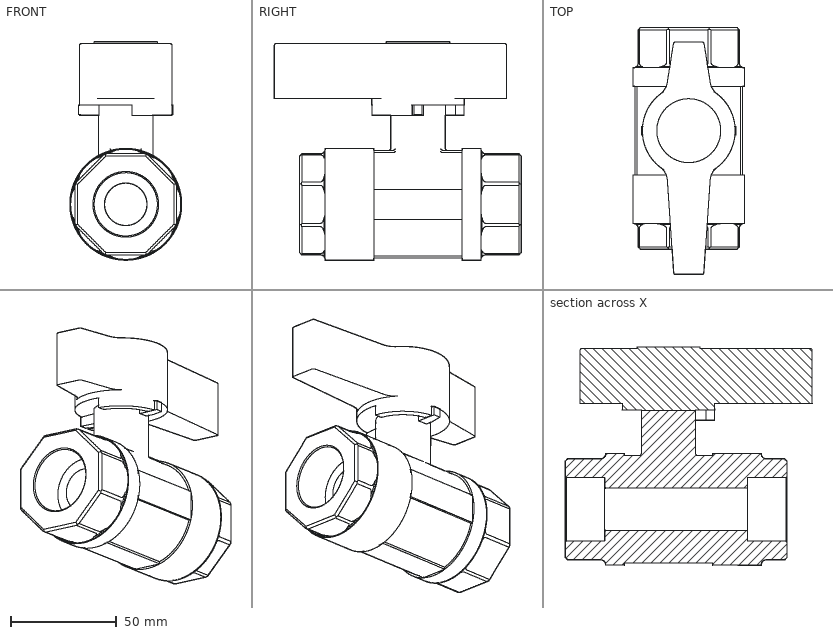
import cadquery as cq
import math


shell_half_length = 21.0
back_band_end = 29.8
back_end = 48.9
front_band_end = 44.0
front_end = 56.2

band_diameter = 53.0
shell_diameter = 50.9
octagon_corner_diameter = 51.2
octagon_corner_flare = 0.5
octagon_flat_distance = 24.0
octagon_end_chamfer = 1.2
octagon_base_fillet = 2.2
flat_count = 8
pad_width = 14.2
pad_distance = 25.5
pad_count = 4

bore_diameter = 20.0
socket_diameter = 30.0
socket_depth = 18.7
socket_chamfer = 0.6

stem_diameter = 26.0
stem_fillet = 0.9
stem_top = 46.9
ear_bend = 16.6
ear_tip = 22.5
ear_root_width = 5.1
ear_tip_width = 3.9
ear_tip_rise = 0.4

hub_diameter = 44.0
skirt_inner_diameter = 36.0
skirt_bottom = 42.1
skirt_gap = 2.9
arm_bottom = 50.1
handle_top = 76.2
handle_end_half_width = 7.1
back_arm_length = 42.0
back_arm_root_half_width = 13.8
front_arm_length = 68.1
front_arm_root_half_width = 11.7
hub_blend_radius = 8.0
handle_edge_fillet = 1.0
cap_diameter = 30.3
cap_height = 0.88
cap_fillet = 0.6


def cylinder_y(diameter, y_start, y_end):
    """Cylinder around the bore axis from y_start to y_end."""
    return cq.Workplane("XZ", origin=(0, y_start, 0)).circle(diameter / 2).extrude(y_start - y_end)


def octagon_end(band_end, end):
    """Octagonal wrench end pointing along +Y, standing on a band that ends at band_end."""
    corner_radius = octagon_corner_diameter / 2
    band_radius = band_diameter / 2
    blank = (
        cq.Workplane("XY")
        .moveTo(0, shell_half_length)
        .lineTo(band_radius, shell_half_length)
        .lineTo(band_radius, band_end)
        .lineTo(corner_radius + octagon_corner_flare, band_end)
        .lineTo(corner_radius, band_end + octagon_corner_flare)
        .lineTo(corner_radius, end)
        .lineTo(0, end)
        .close()
        .revolve(360, (0, 0, 0), (0, 1, 0))
    )

    flat = octagon_flat_distance
    fillet = octagon_base_fillet
    chamfer = octagon_end_chamfer
    fillet_middle = fillet * (1 - math.sqrt(0.5))
    cutter = (
        cq.Workplane("XY")
        .moveTo(band_diameter, band_end)
        .lineTo(flat + fillet, band_end)
        .threePointArc((flat + fillet_middle, band_end + fillet_middle), (flat, band_end + fillet))
        .lineTo(flat, end - chamfer)
        .lineTo(flat - chamfer, end)
        .lineTo(band_diameter, end)
        .close()
        .extrude(band_diameter / 2, both=True)
    )
    for index in range(flat_count):
        blank = blank.cut(cutter.rotate((0, 0, 0), (0, 1, 0), index * 360 / flat_count))
    return blank


def make_shell():
    """Round middle part with raised flat pads and the stem, blended at the stem foot."""
    shell = cylinder_y(shell_diameter, -shell_half_length, shell_half_length)
    pad = cq.Workplane("XY").box(pad_width, 2 * shell_half_length, pad_distance, centered=(True, True, False))
    for index in range(pad_count):
        shell = shell.union(pad.rotate((0, 0, 0), (0, 1, 0), index * 360 / pad_count))

    stem = cq.Workplane("XY").circle(stem_diameter / 2).extrude(stem_top)
    foot_size = stem_diameter + 2 * stem_fillet
    foot_zone = cq.selectors.BoxSelector(
        (-foot_size / 2, -foot_size / 2, shell_diameter / 4),
        (foot_size / 2, foot_size / 2, pad_distance + stem_fillet),
        boundingbox=True,
    )
    return shell.union(stem).edges(foot_zone).fillet(stem_fillet)


def stop_ear():
    """Stop ear on the +X side of the stem, tapered towards its tip."""
    height = stem_top - skirt_bottom
    root = cq.Workplane("XY", origin=(0, 0, skirt_bottom)).box(
        ear_bend, ear_root_width, height, centered=(False, True, False)
    )
    tip_height = height - ear_tip_rise
    tip = (
        cq.Workplane("YZ", origin=(ear_bend, 0, stem_top - height / 2))
        .rect(ear_root_width, height)
        .workplane(offset=ear_tip - ear_bend)
        .center(0, ear_tip_rise / 2)
        .rect(ear_tip_width, tip_height)
        .loft(ruled=True)
    )
    return root.union(tip)


def socket(end):
    """Pipe socket to remove from the end face at +Y, with a chamfered mouth."""
    radius = socket_diameter / 2
    return (
        cq.Workplane("XY")
        .moveTo(0, end - socket_depth)
        .lineTo(radius, end - socket_depth)
        .lineTo(radius, end - socket_chamfer)
        .lineTo(radius + socket_chamfer, end)
        .lineTo(0, end)
        .close()
        .revolve(360, (0, 0, 0), (0, 1, 0))
    )


def turned_about_z(shape):
    """The shape turned half a turn about the stem axis."""
    return shape.rotate((0, 0, 0), (0, 0, 1), 180)


def make_valve_body():
    ear = stop_ear()
    body = (
        make_shell()
        .union(octagon_end(back_band_end, back_end))
        .union(turned_about_z(octagon_end(front_band_end, front_end)))
        .union(ear)
        .union(turned_about_z(ear))
    )
    return (
        body.cut(cylinder_y(bore_diameter, -front_end, back_end))
        .cut(socket(back_end))
        .cut(turned_about_z(socket(front_end)))
    )


def arm(root_half_width, length):
    """Tapered handle arm from the stem axis to y = length, which may be negative."""
    return (
        cq.Workplane("XY", origin=(0, 0, arm_bottom))
        .polyline([
            (-root_half_width, 0),
            (-handle_end_half_width, length),
            (handle_end_half_width, length),
            (root_half_width, 0),
        ])
        .close()
        .extrude(handle_top - arm_bottom)
    )


def make_grip():
    """Upper hub with both arms, blended together and rounded on the outside edges."""
    hub = cq.Workplane("XY", origin=(0, 0, arm_bottom)).circle(hub_diameter / 2).extrude(handle_top - arm_bottom)
    grip = (
        hub.union(arm(back_arm_root_half_width, back_arm_length))
        .union(arm(front_arm_root_half_width, -front_arm_length))
    )
    near_hub = cq.selectors.BoxSelector(
        (-hub_diameter / 2, -hub_diameter / 2, arm_bottom),
        (hub_diameter / 2, hub_diameter / 2, handle_top),
    )
    grip = grip.edges("|Z").edges(near_hub).fillet(hub_blend_radius)
    grip = grip.edges("|Z and (>Y or <Y)").fillet(handle_edge_fillet)
    return grip.faces(">Z").edges().fillet(handle_edge_fillet)


def make_skirt():
    """Lower hub, with two opposite quarters of its skirt removed for the stop ears."""
    lower_hub = (
        cq.Workplane("XY", origin=(0, 0, skirt_bottom))
        .circle(hub_diameter / 2)
        .extrude(arm_bottom - skirt_bottom)
    )
    recess = (
        cq.Workplane("XY", origin=(0, 0, skirt_bottom))
        .circle(skirt_inner_diameter / 2)
        .extrude(stem_top - skirt_bottom)
    )
    opening = (
        cq.Workplane("XY", origin=(skirt_gap, skirt_gap, skirt_bottom))
        .rect(-hub_diameter, -hub_diameter, centered=False)
        .extrude(stem_top - skirt_bottom)
    )
    return lower_hub.cut(recess).cut(opening).cut(turned_about_z(opening))


def make_handle():
    cap = (
        cq.Workplane("XY", origin=(0, 0, handle_top))
        .circle(cap_diameter / 2)
        .extrude(cap_height)
        .faces(">Z")
        .edges()
        .fillet(cap_fillet)
    )
    return make_grip().union(make_skirt()).union(cap)


valve_body = make_valve_body()
handle = make_handle()

result = cq.Compound.makeCompound([valve_body.val(), handle.val()])